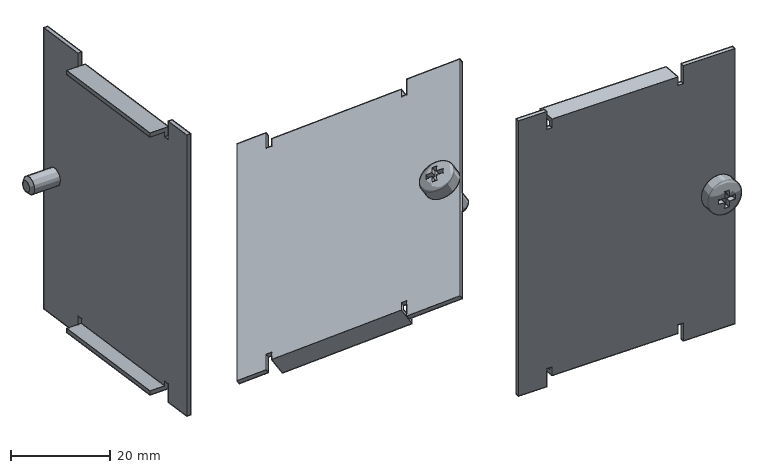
import cadquery as cq

plate_width = 51.5
plate_height = 66.0
sheet = 1.0

flange_left = 13.5
flange_length = 29.95
flange_inset = 2.25
flange_reach = 4.55
notch_depth = 4.3
notch_width = 1.25
flange_right = flange_left + flange_length
flange_outer_z = plate_height / 2 - flange_inset

head_diameter = 8.0
head_radius = head_diameter / 2
head_height = 3.5
crown_height = 1.05
shank_radius = 2.0
shank_length = 8.0
tip_chamfer = 0.7
screw_x = head_radius

recess_length = 3.95
recess_width = 1.05
recess_depth = 1.3


def block(x_min, x_max, y_min, y_max, z_min, z_max):
    """Box given by its limits along the three axes."""
    return cq.Workplane("XY").box(
        x_max - x_min, y_max - y_min, z_max - z_min, centered=False
    ).translate((x_min, y_min, z_min))


def make_upper_flange():
    return block(
        flange_left, flange_right,
        -flange_reach, 0,
        flange_outer_z - sheet, flange_outer_z,
    )


def make_upper_cutout():
    """Clearance over the flange, deepened to a relief notch at each end."""
    notch_floor = plate_height / 2 - notch_depth
    cutout = block(
        flange_left - notch_width, flange_right + notch_width,
        -sheet, 0,
        notch_floor, plate_height / 2,
    )
    kept_web = block(flange_left, flange_right, -sheet, 0, notch_floor, flange_outer_z)
    return cutout.cut(kept_web)


def make_cover():
    cover = block(0, plate_width, -sheet, 0, -plate_height / 2, plate_height / 2)
    upper_cutout = make_upper_cutout()
    upper_flange = make_upper_flange()
    cover = cover.cut(upper_cutout).cut(upper_cutout.mirror("XY"))
    cover = cover.union(upper_flange).union(upper_flange.mirror("XY"))
    screw_hole = (
        cq.Workplane("XZ").center(screw_x, 0).circle(shank_radius).extrude(sheet)
    )
    return cover.cut(screw_hole)


def make_screw():
    screw = (
        cq.Workplane("XY")
        .moveTo(0, -shank_length)
        .lineTo(shank_radius - tip_chamfer, -shank_length)
        .lineTo(shank_radius, tip_chamfer - shank_length)
        .lineTo(shank_radius, 0)
        .lineTo(head_radius, 0)
        .lineTo(head_radius, head_height - crown_height)
        .ellipseArc(head_radius, crown_height, 0, 90, startAtCurrent=True)
        .close()
        .revolve(360, (0, 0, 0), (0, 1, 0))
    )
    for size_x, size_z in ((recess_length, recess_width), (recess_width, recess_length)):
        slot = block(
            -size_x / 2, size_x / 2,
            head_height - recess_depth, head_height,
            -size_z / 2, size_z / 2,
        )
        screw = screw.cut(slot)
    return screw.translate((screw_x, 0, 0))


cover = make_cover()
screw = make_screw()

result = cq.Compound.makeCompound([cover.val(), screw.val()])